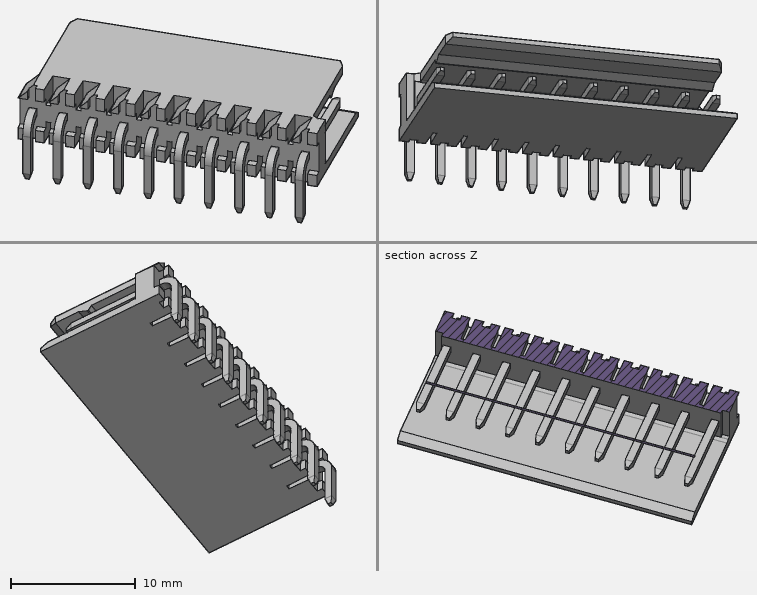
import cadquery as cq


length = 25.1
depth = 11.3
height = 5.0
plate_thickness = 0.78
mouth_bevel_length = 0.73
mouth_bevel_height = 0.38
end_x = length / 2
ceiling_z = height - plate_thickness
mouth_bevel_y = depth - mouth_bevel_length

plate_inset = 1.1
plate_corner = 0.4
plate_end_x = end_x - plate_inset

ridge_mouth_y = 8.35
ridge_crest_mouth_y = 7.55
ridge_crest_rear_y = 7.43
ridge_rear_y = 7.15
ridge_height = 0.4

wall_rear_y = 0.48
wall_front_y = 2.25
step_front_y = 2.59
step_inset = 0.63
step_end_x = end_x - step_inset
fillet_ramp = 0.35
fillet_rise = 0.08

tooth_height = 1.15
tooth_slope_drop = 0.1

pin_count = 10
pin_row_span = 22.87
pitch = pin_row_span / (pin_count - 1)
pin_size = 0.65
pin_half = pin_size / 2
pin_z = height / 2
pin_front_y = 9.46
pin_rear_y = -1.3
pin_bottom_z = -2.9
pin_taper = 0.58
pin_tip_size = 0.3
bend_outer_radius = 1.65
bend_radius = bend_outer_radius - pin_half
leg_y = pin_rear_y + pin_half
pin_positions = [i * pitch - pin_row_span / 2 for i in range(pin_count)]

slope_size = 1.1
slot_width = 0.33
slot_depth = 1.7
cut_draft = 0.05


def block(x_range, y_range, z_range):
    """Box between two limits along each axis."""
    (x0, x1), (y0, y1), (z0, z1) = x_range, y_range, z_range
    return cq.Workplane("XY").box(x1 - x0, y1 - y0, z1 - z0, centered=False).translate((x0, y0, z0))


def extrude_along_row(outline, half_width):
    """Extrude a (y, z) outline symmetrically about the middle of the row."""
    return cq.Workplane("YZ").polyline(outline).close().extrude(half_width, both=True)


def make_base():
    """Bottom plate and rear wall with continuous top and bottom tooth rails."""
    shoulder_z = plate_thickness + fillet_rise
    outline = [
        (0, 0),
        (depth, 0),
        (depth, plate_thickness - mouth_bevel_height),
        (mouth_bevel_y, plate_thickness),
        (step_front_y + fillet_ramp, plate_thickness),
        (step_front_y, shoulder_z),
        (wall_front_y, shoulder_z),
        (wall_front_y, height),
        (0, height),
        (0, height - tooth_height),
        (wall_rear_y, height - tooth_height),
        (wall_rear_y, tooth_height),
        (0, tooth_height - tooth_slope_drop),
    ]
    return extrude_along_row(outline, end_x)


def make_wall_step():
    """Inset step on the inner face of the rear wall, between the two plates."""
    return block((-step_end_x, step_end_x), (wall_rear_y, step_front_y), (0, ceiling_z))


def make_top_plate():
    """Top plate with its latching ridge, mouth bevel and clipped front corners."""
    side_outline = [
        (wall_rear_y, height),
        (depth, height),
        (depth, ceiling_z + mouth_bevel_height),
        (mouth_bevel_y, ceiling_z),
        (ridge_mouth_y, ceiling_z),
        (ridge_crest_mouth_y, ceiling_z - ridge_height),
        (ridge_crest_rear_y, ceiling_z - ridge_height),
        (ridge_rear_y, ceiling_z),
        (step_front_y + fillet_ramp, ceiling_z),
        (step_front_y, ceiling_z - fillet_rise),
        (wall_rear_y, ceiling_z - fillet_rise),
    ]
    plan_outline = [
        (-plate_end_x, wall_rear_y),
        (plate_end_x, wall_rear_y),
        (plate_end_x, mouth_bevel_y),
        (plate_end_x - plate_corner, depth),
        (-plate_end_x + plate_corner, depth),
        (-plate_end_x, mouth_bevel_y),
    ]
    plan = cq.Workplane("XY").polyline(plan_outline).close().extrude(height)
    return extrude_along_row(side_outline, plate_end_x).intersect(plan)


def make_corner_web():
    """Triangular web joining the +X edge of the top plate to the rear wall."""
    corners = [(plate_end_x, wall_front_y), (step_end_x, wall_front_y), (plate_end_x, step_front_y)]
    web = cq.Workplane("XY").workplane(offset=ceiling_z).polyline(corners).close()
    return web.extrude(plate_thickness)


def drafted_cut(x_low, x_high, x_top, z_range):
    """Cutter along Y that widens toward the rear; its +X side leans from x_high to x_top."""
    z_low, z_high = z_range

    def outline(spread):
        return [
            (x_low - spread, z_high),
            (x_low - spread, z_low),
            (x_high + spread, z_low),
            (x_top + spread, z_high),
        ]

    rear = cq.Workplane("XZ").polyline(outline(cut_draft)).close()
    front = rear.workplane(offset=-wall_front_y).polyline(outline(0)).close()
    return front.loft(ruled=True)


def cut_rear_wall(body):
    """Cut, at every pin, a sloped pocket, a pin channel and slots beside the teeth."""
    for index, pin_x in enumerate(pin_positions):
        slope_x = pin_x - slope_size
        slot_x = slope_x - slot_width
        pocket = drafted_cut(slot_x, slope_x, pin_x, (height - slope_size, height))
        channel = block((pin_x - pin_half, pin_x + pin_half), (0, wall_rear_y), (0, height))
        body = body.cut(pocket).cut(channel)
        if index > 0:
            body = body.cut(drafted_cut(slot_x, slope_x, slope_x, (0, slot_depth)))
            body = body.cut(drafted_cut(slot_x, slope_x, slope_x, (height - slot_depth, height)))
    return body


def make_pin(pin_x):
    """Square pin bent down a quarter turn behind the housing, tapered at both ends."""
    bend_start_y = leg_y + bend_radius
    bend_end_z = pin_z - bend_radius
    taper_y = pin_front_y - pin_taper
    taper_z = pin_bottom_z + pin_taper
    path = (
        cq.Workplane("YZ", origin=(pin_x, 0, 0))
        .moveTo(taper_y, pin_z)
        .lineTo(bend_start_y, pin_z)
        .radiusArc((leg_y, bend_end_z), -bend_radius)
        .lineTo(leg_y, taper_z)
    )
    shank = cq.Workplane("XZ", origin=(pin_x, taper_y, pin_z)).rect(pin_size, pin_size).sweep(path)

    def make_tip(plane, origin):
        base = cq.Workplane(plane, origin=origin).rect(pin_size, pin_size)
        return base.workplane(offset=-pin_taper).rect(pin_tip_size, pin_tip_size).loft()

    front_tip = make_tip("XZ", (pin_x, taper_y, pin_z))
    leg_tip = make_tip("XY", (pin_x, leg_y, taper_z))
    return shank.union(front_tip).union(leg_tip)


housing = make_base().union(make_wall_step()).union(make_top_plate()).union(make_corner_web())
result = cut_rear_wall(housing)
for pin_position in pin_positions:
    result = result.union(make_pin(pin_position))